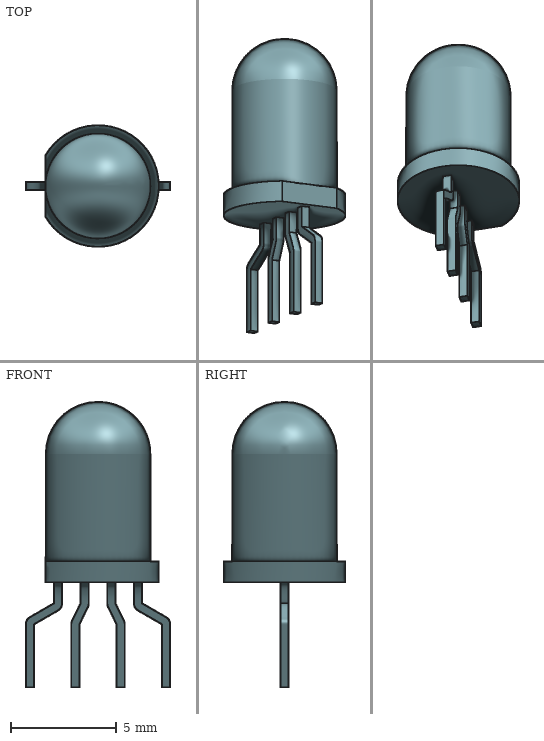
import cadquery as cq
import math

lens_radius = 2.5
lens_shoulder_height = 6.1

rim_radius = 2.9
rim_height = 1.0
flat_distance = lens_radius

lead_width = 0.4
lead_pitch_top = 1.27
lead_pitch_bottom = 2.16
bend_start_z = -1.0
bend_end_z = -2.0
lead_end_z = -5.0
lead_positions = (0.5, 1.5)


def make_lens():
    dome_top = lens_shoulder_height + lens_radius
    return (
        cq.Workplane("XZ")
        .lineTo(lens_radius, 0)
        .lineTo(lens_radius, lens_shoulder_height)
        .radiusArc((0, dome_top), -lens_radius)
        .close()
        .revolve(360, (0, 0), (0, 1))
    )


def make_rim():
    flat_half_width = math.sqrt(rim_radius**2 - flat_distance**2)
    return (
        cq.Workplane("XY")
        .moveTo(-flat_distance, -flat_half_width)
        .threePointArc((rim_radius, 0), (-flat_distance, flat_half_width))
        .close()
        .extrude(rim_height)
    )


def make_left_lead(pitches_from_center):
    """Lead that bends towards -X, pivoting on the inner corner of each bend."""
    half_width = lead_width / 2
    top_x = -pitches_from_center * lead_pitch_top
    bottom_x = -pitches_from_center * lead_pitch_bottom

    upper_x = top_x - half_width
    lower_x = bottom_x + half_width

    run = upper_x - lower_x
    rise = bend_start_z - bend_end_z
    slope = math.atan2(rise, run) - math.asin(lead_width / math.hypot(run, rise))
    offset_x = lead_width * math.sin(slope)
    offset_z = lead_width * math.cos(slope)

    return (
        cq.Workplane("XZ")
        .moveTo(upper_x, 0)
        .lineTo(upper_x + lead_width, 0)
        .lineTo(upper_x + lead_width, bend_start_z)
        .radiusArc((upper_x + offset_x, bend_start_z - offset_z), lead_width)
        .lineTo(lower_x, bend_end_z)
        .lineTo(lower_x, lead_end_z)
        .lineTo(lower_x - lead_width, lead_end_z)
        .lineTo(lower_x - lead_width, bend_end_z)
        .radiusArc((lower_x - offset_x, bend_end_z + offset_z), lead_width)
        .lineTo(upper_x, bend_start_z)
        .close()
        .extrude(half_width, both=True)
    )


result = make_rim().union(make_lens())
for position in lead_positions:
    left_lead = make_left_lead(position)
    result = result.union(left_lead).union(left_lead.mirror("YZ"))